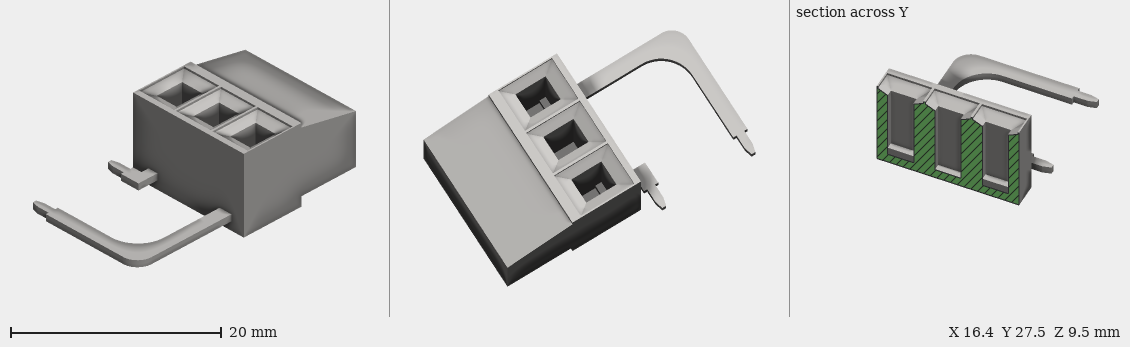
import cadquery as cq

OVERALL_LENGTH = 27.5
BODY_WIDTH = 15.0
BODY_DEPTH = 14.95
BODY_HEIGHT = 9.5
FRONT_BLOCK_DEPTH = 7.67
REAR_BOTTOM = 1.18
SLOPE_HIGH = 8.96
SLOPE_LOW = 7.5

POCKET_COUNT = 3
POCKET_PITCH = 4.98
MOUTH_WIDTH = 4.73
MOUTH_FRONT = 0.65
MOUTH_REAR = 6.65
SHAFT_WIDTH = 2.7
SHAFT_FRONT = 2.0
SHAFT_REAR = 5.4
RIM_DEPTH = 0.25
FUNNEL_DEPTH = 0.5

PIN_BOTTOM = 1.07
PIN_THICKNESS = 0.8
PIN_TOP = PIN_BOTTOM + PIN_THICKNESS
PIN_ARM_WIDTH = 1.6
PIN_EMBEDMENT = 0.55
LEDGE_REAR = 2.7

TIP_END = -1.4
SHOULDER_X = 0.94
TIP_WIDTH = 0.88
TIP_END_WIDTH = 0.45
TIP_TAPER_LENGTH = 0.88

SHORT_LEG_LEFT = 2.1
SHORT_LEG_RIGHT = 3.3
SHORT_ARM_FRONT = -2.53

LONG_LEG_RIGHT = 13.3
LONG_LEG_LEFT = LONG_LEG_RIGHT - PIN_ARM_WIDTH
LONG_ARM_FRONT = BODY_DEPTH - OVERALL_LENGTH
OUTER_BEND_RADIUS = 3.8 / 2
INNER_BEND_RADIUS = 3.5


def make_housing():
    """Side profile with a stepped bottom and a sloping rear roof."""
    return (
        cq.Workplane("YZ")
        .moveTo(0, 0)
        .lineTo(FRONT_BLOCK_DEPTH, 0)
        .lineTo(FRONT_BLOCK_DEPTH, REAR_BOTTOM)
        .lineTo(BODY_DEPTH, REAR_BOTTOM)
        .lineTo(BODY_DEPTH, SLOPE_LOW)
        .lineTo(FRONT_BLOCK_DEPTH, SLOPE_HIGH)
        .lineTo(FRONT_BLOCK_DEPTH, BODY_HEIGHT)
        .lineTo(0, BODY_HEIGHT)
        .close()
        .extrude(BODY_WIDTH)
    )


def block(x_center, width, front, rear, bottom, top):
    """Upright box centred on x_center."""
    box = cq.Workplane("XY").box(width, rear - front, top - bottom, centered=(True, False, False))
    return box.translate((x_center, front, bottom))


def make_pocket(x_center):
    """Straight rim, tapered funnel, then a shaft that ends level with the pin underside."""
    funnel_top = BODY_HEIGHT - RIM_DEPTH
    mouth_y = (MOUTH_FRONT + MOUTH_REAR) / 2
    shaft_y = (SHAFT_FRONT + SHAFT_REAR) / 2
    rim = block(x_center, MOUTH_WIDTH, MOUTH_FRONT, MOUTH_REAR, funnel_top, BODY_HEIGHT)
    funnel = (
        cq.Workplane("XY", origin=(x_center, mouth_y, funnel_top))
        .rect(MOUTH_WIDTH, MOUTH_REAR - MOUTH_FRONT)
        .workplane(offset=-FUNNEL_DEPTH)
        .center(0, shaft_y - mouth_y)
        .rect(SHAFT_WIDTH, SHAFT_REAR - SHAFT_FRONT)
        .loft(ruled=True)
    )
    shaft = block(x_center, SHAFT_WIDTH, SHAFT_FRONT, SHAFT_REAR, PIN_BOTTOM, funnel_top - FUNNEL_DEPTH)
    return rim.union(funnel).union(shaft)


def make_ledge(x_center):
    """End of a pin showing as a ledge at the foot of the shaft's front wall."""
    return block(x_center, SHAFT_WIDTH, SHAFT_FRONT, LEDGE_REAR, PIN_BOTTOM, PIN_TOP)


def pin_plane():
    """Plane of the pins' underside."""
    return cq.Workplane("XY", origin=(0, 0, PIN_BOTTOM))


def pin_blank(outline):
    """Close an outline and give it the pin thickness."""
    return outline.close().extrude(PIN_THICKNESS)


def make_tip(arm_front):
    """Narrow solder tip with a tapered end, centred on a pin arm."""
    y_center = arm_front + PIN_ARM_WIDTH / 2
    taper_start = TIP_END + TIP_TAPER_LENGTH
    return pin_blank(
        pin_plane()
        .moveTo(SHOULDER_X, y_center - TIP_WIDTH / 2)
        .lineTo(SHOULDER_X, y_center + TIP_WIDTH / 2)
        .lineTo(taper_start, y_center + TIP_WIDTH / 2)
        .lineTo(TIP_END, y_center + TIP_END_WIDTH / 2)
        .lineTo(TIP_END, y_center - TIP_END_WIDTH / 2)
        .lineTo(taper_start, y_center - TIP_WIDTH / 2)
    )


def make_short_pin():
    """Square-cornered pin close to the housing."""
    arm_rear = SHORT_ARM_FRONT + PIN_ARM_WIDTH
    angle = pin_blank(
        pin_plane()
        .moveTo(SHOULDER_X, SHORT_ARM_FRONT)
        .lineTo(SHORT_LEG_RIGHT, SHORT_ARM_FRONT)
        .lineTo(SHORT_LEG_RIGHT, PIN_EMBEDMENT)
        .lineTo(SHORT_LEG_LEFT, PIN_EMBEDMENT)
        .lineTo(SHORT_LEG_LEFT, arm_rear)
        .lineTo(SHOULDER_X, arm_rear)
    )
    return angle.union(make_tip(SHORT_ARM_FRONT))


def make_long_pin():
    """Pin with a rounded bend far in front of the housing."""
    arm_rear = LONG_ARM_FRONT + PIN_ARM_WIDTH
    angle = pin_blank(
        pin_plane()
        .moveTo(SHOULDER_X, LONG_ARM_FRONT)
        .lineTo(LONG_LEG_RIGHT - OUTER_BEND_RADIUS, LONG_ARM_FRONT)
        .radiusArc((LONG_LEG_RIGHT, LONG_ARM_FRONT + OUTER_BEND_RADIUS), -OUTER_BEND_RADIUS)
        .lineTo(LONG_LEG_RIGHT, PIN_EMBEDMENT)
        .lineTo(LONG_LEG_LEFT, PIN_EMBEDMENT)
        .lineTo(LONG_LEG_LEFT, arm_rear + INNER_BEND_RADIUS)
        .radiusArc((LONG_LEG_LEFT - INNER_BEND_RADIUS, arm_rear), INNER_BEND_RADIUS)
        .lineTo(SHOULDER_X, arm_rear)
    )
    return angle.union(make_tip(LONG_ARM_FRONT))


first_pocket_x = BODY_WIDTH / 2 - POCKET_PITCH * (POCKET_COUNT - 1) / 2
pocket_centers = [first_pocket_x + i * POCKET_PITCH for i in range(POCKET_COUNT)]

result = make_housing()
for pocket_x in pocket_centers:
    result = result.cut(make_pocket(pocket_x))

for pocket_x in (pocket_centers[0], pocket_centers[-1]):
    result = result.union(make_ledge(pocket_x))

result = result.union(make_short_pin()).union(make_long_pin())